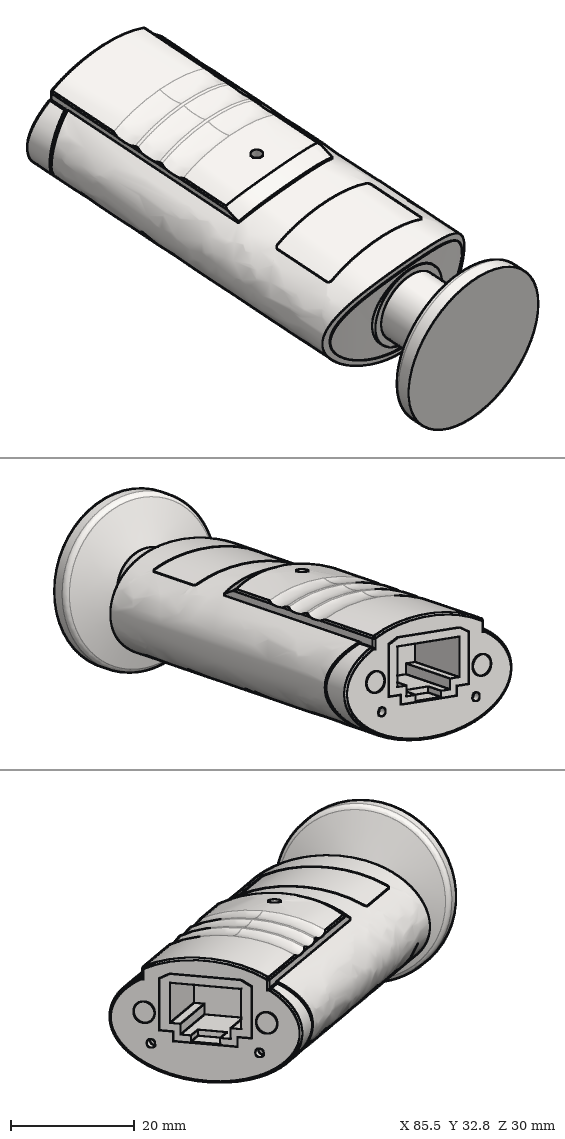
import cadquery as cq
import math


total_length = 85.5
reach = total_length
housing_half_width = 16.4
housing_half_height = 9.7
housing_end_x = 70.5
end_radius = 43.6
end_plug_inset = 1.2
end_plug_rise = 0.2
front_edge_chamfer = 0.3

tube_start_x = 42.75
tube_diameter = 12.7
tube_radius = tube_diameter / 2
collar_radius = 7.7
collar_end_x = 70.8
flange_diameter = 30.0
flange_radius = flange_diameter / 2
flange_rim_start_x = 82.4
flange_angle = 15.0
flange_edge_fillet = 1.0
selection_margin = 0.1

plate_half_width = 10.9
plate_rise = 1.5
plate_top_z = housing_half_height + plate_rise
plate_end_x = 44.2
plate_bevel_drop = 1.1
plate_bevel_length = 3.1
plate_edge_chamfer = 0.25

groove_count = 3
groove_first_x = 16.8
groove_pitch = 5.5
groove_width = 4.9
groove_depth = 0.3
groove_overshoot = 0.4
groove_sweep_end_angle = 40

light_hole_x = 36.3
light_hole_diameter = 2.05
light_hole_depth = 1.7
label_start_x = 51.1
label_end_x = 63.4
label_corner_radius = 0.6
label_depth = 0.1

seam_x = 2.2
seam_width = 0.4
seam_depth = 0.25
cap_shoulder_z = 7.1
cap_shoulder_length = 3.6

panel_outline = [(6.1, 8.1), (7.9, 7.2), (7.9, -1.5), (5.5, -1.5), (5.5, -3.2)]
opening_outline = [(6.1, 6.6), (6.1, -0.2), (4.3, -0.2), (4.3, -2.0)]
latch_outline = [(2.5, 0), (2.5, -3.0)]
panel_recess = 0.2
jack_depth = 12.8
latch_depth = 3.85

screw_y = 10.4
screw_z = 1.3
screw_diameter = 3.6
lamp_y = 9.2
lamp_z = -3.85
lamp_diameter = 1.45
lamp_depth = 1.7


def elliptical_bar(inset=0.0, lift=0.0):
    """Housing section, shrunk by inset and raised by lift, extruded from x = 0."""
    section = cq.Workplane("YZ").center(0, lift)
    return section.ellipse(housing_half_width - inset, housing_half_height - inset).extrude(reach)


def vertical_cylinder(tip_x, radius, side):
    """Tall cylinder touching x = tip_x, its centre toward -X (side = -1) or +X (side = 1)."""
    return cq.Workplane("XY", origin=(tip_x + side * radius, 0, -reach / 2)).circle(radius).extrude(reach)


def upper_slab():
    """Zone above the XY plane as wide as the top plate, starting at x = 0."""
    return cq.Workplane("XY").box(reach, 2 * plate_half_width, reach, centered=(False, True, False))


def flanged_tube():
    """Tube with a collar at the housing and a conical-backed flange."""
    cone_length = (flange_radius - tube_radius) * math.tan(math.radians(flange_angle))
    profile = [
        (tube_start_x, 0),
        (tube_start_x, collar_radius),
        (collar_end_x, collar_radius),
        (collar_end_x, tube_radius),
        (flange_rim_start_x - cone_length, tube_radius),
        (flange_rim_start_x, flange_radius),
        (total_length, flange_radius),
        (total_length, 0),
    ]
    tube = cq.Workplane("XY").polyline(profile).close().revolve(360, (0, 0, 0), (1, 0, 0))
    rim_start = cq.selectors.BoxSelector(
        (flange_rim_start_x - selection_margin, -reach, -reach),
        (flange_rim_start_x + selection_margin, reach, reach),
    )
    return tube.edges(rim_start).fillet(flange_edge_fillet)


def housing():
    """Elliptical body with a rounded end and a slightly raised plug inside its rim."""
    body = elliptical_bar().intersect(vertical_cylinder(housing_end_x, end_radius, -1))
    plug = elliptical_bar(inset=end_plug_inset).intersect(
        vertical_cylinder(housing_end_x + end_plug_rise, end_radius + end_plug_rise, -1)
    )
    return body.union(plug)


def grip_groove(x):
    """Shallow scallop across the plate, following its elliptical top."""
    half = groove_width / 2
    profile = (
        cq.Workplane("XZ", origin=(x, 0, plate_top_z))
        .moveTo(-half, groove_overshoot)
        .lineTo(-half, 0)
        .threePointArc((0, -groove_depth), (half, 0))
        .lineTo(half, groove_overshoot)
        .close()
    )
    path = cq.Workplane("YZ", origin=(x, 0, plate_rise)).ellipseArc(
        housing_half_width,
        housing_half_height,
        groove_sweep_end_angle,
        90,
        sense=-1,
        startAtCurrent=False,
    )
    half_groove = profile.sweep(path)
    return half_groove.union(half_groove.mirror("XZ"))


def top_plate():
    """Plate with the housing's curvature, bevelled at its rounded end and grooved for grip."""
    plate = (
        elliptical_bar(lift=plate_rise)
        .intersect(vertical_cylinder(plate_end_x, end_radius, -1))
        .intersect(upper_slab())
    )
    plate = plate.faces("|Y").edges(">Z").chamfer(plate_edge_chamfer)
    plate = plate.faces(">X").edges(">Z").chamfer(plate_bevel_length, plate_bevel_drop)
    for index in range(groove_count):
        plate = plate.cut(grip_groove(groove_first_x + index * groove_pitch))
    return plate


def light_hole():
    return (
        cq.Workplane("XY", origin=(light_hole_x, 0, plate_top_z - light_hole_depth))
        .circle(light_hole_diameter / 2)
        .extrude(2 * light_hole_depth)
    )


def label_recess():
    length = label_end_x - label_start_x
    window = (
        cq.Workplane("XY", origin=((label_start_x + label_end_x) / 2, 0, 0))
        .rect(length, 2 * plate_half_width)
        .extrude(reach)
        .edges("|Z")
        .fillet(label_corner_radius)
    )
    return window.cut(elliptical_bar(inset=label_depth))


def cap_seam():
    """Thin curved groove around the housing, interrupted by the top plate."""
    ring = vertical_cylinder(seam_x, end_radius, 1).cut(
        vertical_cylinder(seam_x + seam_width, end_radius - seam_width, 1)
    )
    front_half = cq.Workplane("XY").box(end_radius, reach, reach, centered=(False, True, True))
    return ring.intersect(front_half).cut(elliptical_bar(inset=seam_depth)).cut(upper_slab())


def cap_shoulders():
    """Flats on the cap beside the plate."""
    above = cq.Workplane("XY", origin=(0, 0, cap_shoulder_z)).box(
        cap_shoulder_length, reach, reach, centered=(False, True, False)
    )
    return above.cut(upper_slab())


def mirrored_pocket(half_outline, depth):
    """Pocket in the front face from the +Y half of a symmetric (y, z) outline."""
    other_half = [(-y, z) for y, z in reversed(half_outline)]
    return cq.Workplane("YZ").polyline(half_outline + other_half).close().extrude(depth)


def front_holes(y, z, diameter, depth):
    """Pair of round pockets in the front face, mirrored about the XZ plane."""
    return cq.Workplane("YZ").pushPoints([(-y, z), (y, z)]).circle(diameter / 2).extrude(depth)


def jack():
    """Socket with a recessed surround and a short latch notch."""
    return (
        mirrored_pocket(panel_outline, panel_recess)
        .union(mirrored_pocket(opening_outline, jack_depth))
        .union(mirrored_pocket(latch_outline, latch_depth))
    )


result = housing().union(flanged_tube()).union(top_plate())
result = result.cut(label_recess()).cut(cap_shoulders())
result = result.faces("<X").edges().chamfer(front_edge_chamfer)
result = (
    result.cut(cap_seam())
    .cut(light_hole())
    .cut(jack())
    .cut(front_holes(screw_y, screw_z, screw_diameter, panel_recess))
    .cut(front_holes(lamp_y, lamp_z, lamp_diameter, lamp_depth))
)